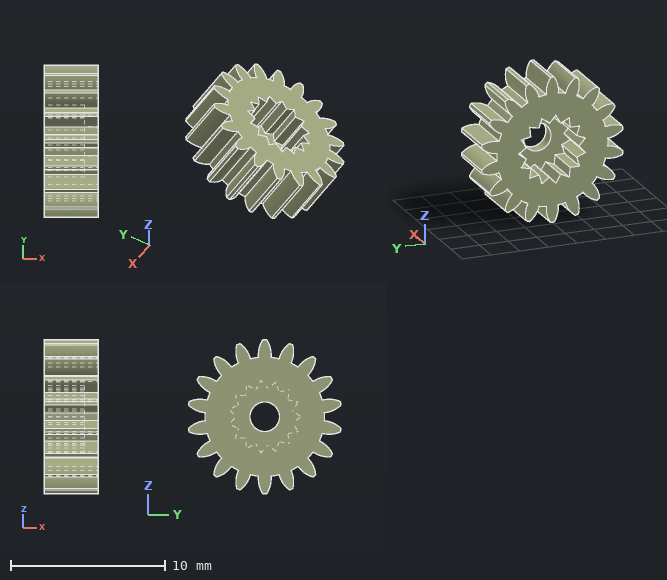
import cadquery as cq
import math

module = 0.5
tooth_count = 18
face_width = 3.5

pitch_radius = module * tooth_count / 2
tip_radius = pitch_radius + module
dedendum_factor = 1.25
root_radius = pitch_radius - dedendum_factor * module

tip_thickness = 0.245
pitch_thickness = 0.72
root_thickness = 0.84

serration_count = 15
serration_outer_radius = 2.35
serration_inner_radius = 1.86
socket_depth = 2.6
bore_diameter = 1.9


def polar(radius, angle):
    return (radius * math.cos(angle), radius * math.sin(angle))


def flank_point(radius, thickness, center_angle, side):
    """Point on one flank (side -1 or 1) of the tooth centred on center_angle."""
    return polar(radius, center_angle + side * math.asin(thickness / 2 / radius))


def make_gear_blank():
    """Toothed disc with one tooth centred on +Z and one on -Z."""
    tooth_pitch = 2 * math.pi / tooth_count
    first_tooth = math.pi / 2
    start = flank_point(root_radius, root_thickness, first_tooth, -1)
    outline = cq.Workplane("YZ").moveTo(*start)
    for i in range(tooth_count):
        center = first_tooth + i * tooth_pitch
        outline = (
            outline
            .threePointArc(
                flank_point(pitch_radius, pitch_thickness, center, -1),
                flank_point(tip_radius, tip_thickness, center, -1),
            )
            .threePointArc(
                polar(tip_radius, center),
                flank_point(tip_radius, tip_thickness, center, 1),
            )
            .threePointArc(
                flank_point(pitch_radius, pitch_thickness, center, 1),
                flank_point(root_radius, root_thickness, center, 1),
            )
            .threePointArc(
                polar(root_radius, center + tooth_pitch / 2),
                flank_point(root_radius, root_thickness, center + tooth_pitch, -1),
            )
        )
    return outline.close().extrude(face_width)


def make_socket():
    """Star-shaped pocket with one of its outer corners on +Y."""
    half_pitch = math.pi / serration_count
    corners = []
    for i in range(serration_count):
        angle = 2 * i * half_pitch
        corners.append(polar(serration_outer_radius, angle))
        corners.append(polar(serration_inner_radius, angle + half_pitch))
    return cq.Workplane("YZ").polyline(corners).close().extrude(socket_depth)


def make_bore():
    return cq.Workplane("YZ").circle(bore_diameter / 2).extrude(face_width)


result = make_gear_blank().cut(make_socket()).cut(make_bore())